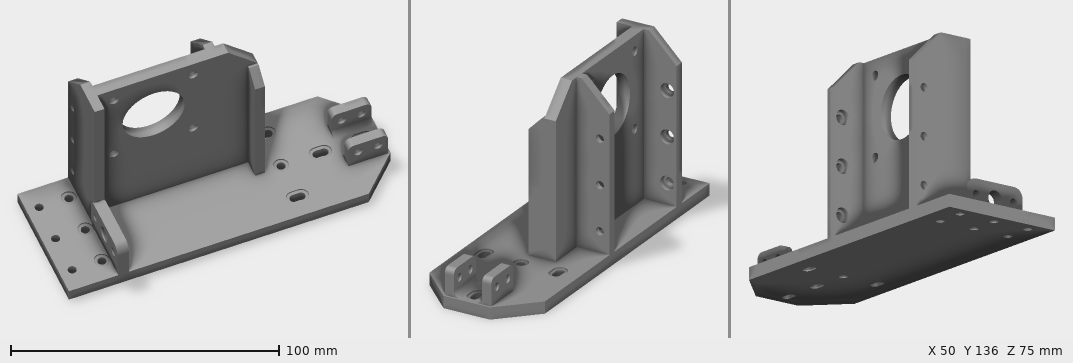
import cadquery as cq

PLATE_WIDTH = 50.0
PLATE_LENGTH = 136.0
PLATE_THICKNESS = 5.0
PLATE_CORNER_CHAMFER = 15.0
TOTAL_HEIGHT = 75.0
LEFT_SIDE = -PLATE_WIDTH / 2
RIGHT_SIDE = PLATE_WIDTH / 2

SCREW_DIAMETER = 3.4
RECESS_DIAMETER = 6.0
PLATE_RECESS_DEPTH = 0.5
HOLE_COLUMN_SPACING = 16.0
FRONT_ROW_Y = 5.0
SECOND_ROW_Y = 17.0
REAR_ROW_Y = 96.0
REAR_SLOT_YS = (111.9, 128.9)
SLOT_TRAVEL = 2.9

WALL_LEFT = LEFT_SIDE + 14.1
WALL_THICKNESS = 4.9
WALL_RIGHT = WALL_LEFT + WALL_THICKNESS
WALL_REAR = 89.1
UPRIGHT_CHAMFER = 12.0

RIB_THICKNESS = 4.0
FRONT_RIB_Y = 20.4
REAR_RIB_Y = 69.8
RIB_RIGHT = LEFT_SIDE + 26.0
RIB_HOLE_X = LEFT_SIDE + 4.1
RIB_HOLE_ZS = (13.9, 32.9, 52.0)
RIB_RECESS_DEPTH = 2.0

MOTOR_BORE_DIAMETER = 25.0
MOTOR_SCREW_DIAMETER = 3.8
MOTOR_SCREW_SPACING = 32.0
MOTOR_Z = 52.5
MOTOR_Y = (FRONT_RIB_Y + REAR_RIB_Y + RIB_THICKNESS) / 2

GUSSET_THICKNESS = RIB_THICKNESS
GUSSET_LEDGE = 1.0

BLOCK_LEFT = LEFT_SIDE + 24.1
BLOCK_FRONT = 19.6
BLOCK_REAR = FRONT_RIB_Y + RIB_THICKNESS
BLOCK_TOP = 20.8
BLOCK_CORNER_RADIUS = 4.0
BLOCK_STEP_Z = 8.7
BLOCK_STEP_DEPTH = 0.4
BLOCK_BORE_DIAMETER = 6.4
BLOCK_HOLE_OFFSET = 8.8
BLOCK_HOLE_Z = 14.5
BLOCK_CENTER_X = (BLOCK_LEFT + RIGHT_SIDE) / 2

LUG_THICKNESS = 4.0
LUG_OUTER_X = 10.0
LUG_LENGTH = 16.0
LUG_REAR = 135.0
LUG_TOP = 16.3
LUG_CORNER_RADIUS = 2.5
LUG_ROOT_FILLET = 2.6
LUG_HOLE_SPACING = 8.0
LUG_HOLE_Z = 11.5


def box(x0, x1, y0, y1, z0, z1):
    """Box between two opposite corners."""
    return cq.Workplane("XY").box(x1 - x0, y1 - y0, z1 - z0, centered=False).translate((x0, y0, z0))


def cylinder_along_x(diameter, x0, x1, y, z):
    """Cylinder parallel to X, used as a cutter."""
    return cq.Workplane("YZ", origin=(x0, y, z)).circle(diameter / 2).extrude(x1 - x0)


def cylinder_along_y(diameter, x, y0, y1, z):
    """Cylinder parallel to Y, used as a cutter."""
    return cq.Workplane("XZ", origin=(x, y0, z)).circle(diameter / 2).extrude(y0 - y1)


def vertical_cutter(points, diameter, travel, depth):
    """Cutter sunk into the plate top: round holes, or slots along Y when travel is not zero."""
    sketch = cq.Workplane("XY", origin=(0, 0, PLATE_THICKNESS - depth)).pushPoints(points)
    if travel:
        return sketch.slot2D(diameter + travel, diameter, 90).extrude(depth)
    return sketch.circle(diameter / 2).extrude(depth)


def recessed_cutter(points, travel):
    """Through holes or slots with a shallow recess on the plate top."""
    through = vertical_cutter(points, SCREW_DIAMETER, travel, PLATE_THICKNESS)
    return through.union(vertical_cutter(points, RECESS_DIAMETER, travel, PLATE_RECESS_DEPTH))


def base_plate():
    columns = (-HOLE_COLUMN_SPACING, 0, HOLE_COLUMN_SPACING)
    plate = box(LEFT_SIDE, RIGHT_SIDE, 0, PLATE_LENGTH, 0, PLATE_THICKNESS)
    plate = plate.edges("|Z and >Y").chamfer(PLATE_CORNER_CHAMFER)
    round_points = [(x, SECOND_ROW_Y) for x in columns] + [(0, REAR_ROW_Y)]
    slot_points = [(x, REAR_ROW_Y) for x in columns if x != 0] + [(0, y) for y in REAR_SLOT_YS]
    front_points = [(x, FRONT_ROW_Y) for x in columns]
    return (
        plate
        .cut(recessed_cutter(round_points, 0))
        .cut(recessed_cutter(slot_points, SLOT_TRAVEL))
        .cut(vertical_cutter(front_points, SCREW_DIAMETER, 0, PLATE_THICKNESS))
    )


def motor_wall():
    wall = box(WALL_LEFT, WALL_RIGHT, FRONT_RIB_Y, WALL_REAR, 0, TOTAL_HEIGHT)
    return wall.edges("|X and >Y and >Z").chamfer(UPRIGHT_CHAMFER)


def motor_cutter():
    half = MOTOR_SCREW_SPACING / 2
    cutter = cylinder_along_x(MOTOR_BORE_DIAMETER, WALL_LEFT, WALL_RIGHT, MOTOR_Y, MOTOR_Z)
    for y in (MOTOR_Y - half, MOTOR_Y + half):
        for z in (MOTOR_Z - half, MOTOR_Z + half):
            cutter = cutter.union(cylinder_along_x(MOTOR_SCREW_DIAMETER, WALL_LEFT, WALL_RIGHT, y, z))
    return cutter


def rib(front, right, recess_front):
    """Rib with a chamfered top left corner; its holes are recessed on the face toward the other rib."""
    recess_rear = recess_front + RIB_RECESS_DEPTH
    rear = front + RIB_THICKNESS
    body = box(LEFT_SIDE, right, front, rear, 0, TOTAL_HEIGHT)
    body = body.edges("|Y and <X and >Z").chamfer(UPRIGHT_CHAMFER)
    for z in RIB_HOLE_ZS:
        body = body.cut(cylinder_along_y(SCREW_DIAMETER, RIB_HOLE_X, front, rear, z))
        body = body.cut(cylinder_along_y(RECESS_DIAMETER, RIB_HOLE_X, recess_front, recess_rear, z))
    return body


def gusset():
    """Upright as tall as the rear edge of the wall, sloping down at 45 degrees on top."""
    rise = RIB_RIGHT - WALL_RIGHT - GUSSET_LEDGE
    top = TOTAL_HEIGHT - UPRIGHT_CHAMFER
    body = box(WALL_LEFT, RIB_RIGHT, WALL_REAR - GUSSET_THICKNESS, WALL_REAR, 0, top)
    return body.edges("|Y and >X and >Z").chamfer(rise)


def bearing_block():
    block = box(BLOCK_LEFT, RIGHT_SIDE, BLOCK_FRONT, BLOCK_REAR, PLATE_THICKNESS, BLOCK_TOP)
    block = block.edges("|Y and >Z").fillet(BLOCK_CORNER_RADIUS)
    step_rear = BLOCK_FRONT + BLOCK_STEP_DEPTH
    return block.cut(box(BLOCK_LEFT, RIGHT_SIDE, BLOCK_FRONT, step_rear, PLATE_THICKNESS, BLOCK_STEP_Z))


def bearing_cutter():
    cutter = cylinder_along_y(BLOCK_BORE_DIAMETER, BLOCK_CENTER_X, BLOCK_FRONT, BLOCK_REAR, BLOCK_HOLE_Z)
    for x in (BLOCK_CENTER_X - BLOCK_HOLE_OFFSET, BLOCK_CENTER_X + BLOCK_HOLE_OFFSET):
        cutter = cutter.union(cylinder_along_y(SCREW_DIAMETER, x, BLOCK_FRONT, BLOCK_REAR, BLOCK_HOLE_Z))
    return cutter


def right_lug():
    """Lug on the +X side, with a concave fillet at the root of its inner face."""
    inner = LUG_OUTER_X - LUG_THICKNESS
    front = LUG_REAR - LUG_LENGTH
    body = box(inner, LUG_OUTER_X, front, LUG_REAR, PLATE_THICKNESS, LUG_TOP)
    body = body.edges("|X and >Z").fillet(LUG_CORNER_RADIUS)
    center_y = (front + LUG_REAR) / 2
    for y in (center_y - LUG_HOLE_SPACING / 2, center_y + LUG_HOLE_SPACING / 2):
        body = body.cut(cylinder_along_x(SCREW_DIAMETER, inner, LUG_OUTER_X, y, LUG_HOLE_Z))
    root = (
        cq.Workplane("XZ", origin=(inner, LUG_REAR, PLATE_THICKNESS))
        .lineTo(-LUG_ROOT_FILLET, 0)
        .radiusArc((0, LUG_ROOT_FILLET), -LUG_ROOT_FILLET)
        .close()
        .extrude(LUG_LENGTH)
    )
    return body.union(root)


lug = right_lug()
result = (
    base_plate()
    .union(motor_wall())
    .union(rib(FRONT_RIB_Y, RIB_RIGHT, FRONT_RIB_Y + RIB_THICKNESS - RIB_RECESS_DEPTH))
    .union(rib(REAR_RIB_Y, WALL_RIGHT, REAR_RIB_Y))
    .union(gusset())
    .union(bearing_block())
    .cut(motor_cutter())
    .cut(bearing_cutter())
    .union(lug)
    .union(lug.mirror("YZ"))
)